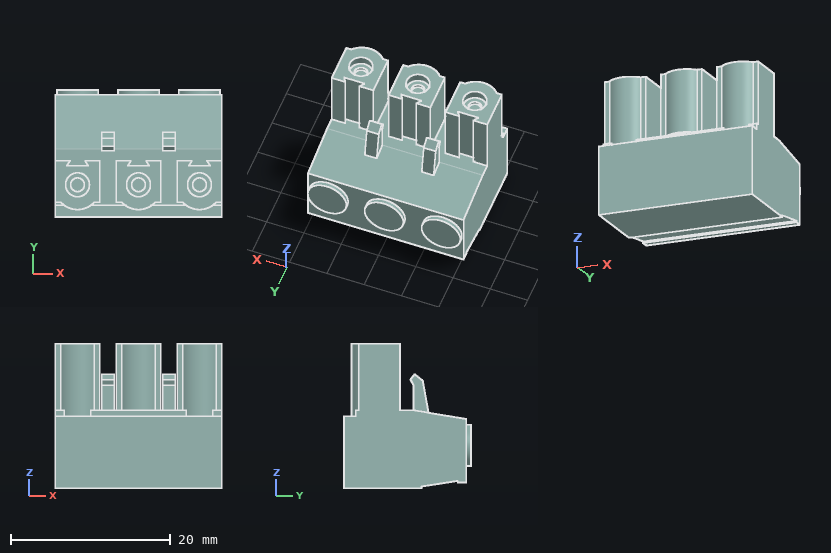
import cadquery as cq
import math


POLE_COUNT = 3
BODY_WIDTH = 20.87
TOWER_WIDTH = 5.6
POLE_PITCH = (BODY_WIDTH - TOWER_WIDTH) / (POLE_COUNT - 1)
TOTAL_DEPTH = 15.95
TOTAL_HEIGHT = 18.15

DISC_DIAMETER = 5.2
DISC_PROJECTION = 0.59
DISC_CENTRE_Z = 5.4

BODY_DEPTH = TOTAL_DEPTH - DISC_PROJECTION
SHELF_Z = 9.05
LEDGE_Y = 1.5
DECK_Z = 9.82
SLOPE_START_Y = 8.6
REAR_TOP_Z = 8.71
FOOT_Z = 0.72
FOOT_FRONT_Y = 14.26
RELIEF_REAR_Z = 0.93
RELIEF_FRONT_Y = 9.74
RELIEF_FRONT_Z = 0.23

TOWER_FRONT_Y = 1.9
TOWER_REAR_Y = 7.04
NOSE_RADIUS = 2.85
NOSE_CENTRE_Y = 3.8
NOSE_FRONT_Y = NOSE_CENTRE_Y - NOSE_RADIUS
NOSE_HALF_CHORD = math.sqrt(NOSE_RADIUS**2 - (NOSE_CENTRE_Y - TOWER_FRONT_Y)**2)
DOVETAIL_DEPTH = 0.63
DOVETAIL_MOUTH_HALF = 0.94
DOVETAIL_FLOOR_HALF = 1.37

HOLE_CENTRE_Y = 4.06
HOLE_DIAMETER = 3.0
HOLE_DEPTH = 1.27
BORE_DIAMETER = 1.72
BORE_DEPTH = 0.5

LATCH_WIDTH = 1.6
LATCH_FRONT_Y = 8.71
LATCH_ROOT_REAR_Y = 10.62
DECK_SLOPE = (DECK_Z - REAR_TOP_Z) / (BODY_DEPTH - SLOPE_START_Y)
LATCH_ROOT_REAR_Z = DECK_Z - DECK_SLOPE * (LATCH_ROOT_REAR_Y - SLOPE_START_Y)
LATCH_SHOULDER_Y = 9.9
LATCH_SHOULDER_Z = 13.5
LATCH_TIP_Y = 8.87
LATCH_TIP_Z = 14.33
LATCH_BARB_Y = 8.33
LATCH_BARB_Z = 13.64
LATCH_NECK_Z = 12.94


def body():
    """Housing: one side profile extruded over the full width."""
    profile = [
        (0, 0),
        (0, SHELF_Z),
        (LEDGE_Y, SHELF_Z),
        (LEDGE_Y, DECK_Z),
        (SLOPE_START_Y, DECK_Z),
        (BODY_DEPTH, REAR_TOP_Z),
        (BODY_DEPTH, FOOT_Z),
        (FOOT_FRONT_Y, FOOT_Z),
        (FOOT_FRONT_Y, RELIEF_REAR_Z),
        (RELIEF_FRONT_Y, RELIEF_FRONT_Z),
        (RELIEF_FRONT_Y, 0),
    ]
    return cq.Workplane("YZ").polyline(profile).close().extrude(BODY_WIDTH / 2, both=True)


def tower(x, base_z):
    """Round-nosed tower with a dovetail groove down its rear face."""
    half_width = TOWER_WIDTH / 2
    groove_floor_y = TOWER_REAR_Y - DOVETAIL_DEPTH
    block = (
        cq.Workplane("XY", origin=(x, 0, DECK_Z))
        .moveTo(-half_width, TOWER_FRONT_Y)
        .lineTo(half_width, TOWER_FRONT_Y)
        .lineTo(half_width, TOWER_REAR_Y)
        .lineTo(DOVETAIL_MOUTH_HALF, TOWER_REAR_Y)
        .lineTo(DOVETAIL_FLOOR_HALF, groove_floor_y)
        .lineTo(-DOVETAIL_FLOOR_HALF, groove_floor_y)
        .lineTo(-DOVETAIL_MOUTH_HALF, TOWER_REAR_Y)
        .lineTo(-half_width, TOWER_REAR_Y)
        .close()
        .extrude(TOTAL_HEIGHT - DECK_Z)
    )
    nose = (
        cq.Workplane("XY", origin=(x, 0, base_z))
        .moveTo(-NOSE_HALF_CHORD, TOWER_FRONT_Y)
        .threePointArc((0, NOSE_FRONT_Y), (NOSE_HALF_CHORD, TOWER_FRONT_Y))
        .close()
        .extrude(TOTAL_HEIGHT - base_z)
    )
    return block.union(nose)


def contact_hole(x):
    """Stepped blind hole cut into a tower from above."""
    top = cq.Workplane("XY", origin=(x, HOLE_CENTRE_Y, TOTAL_HEIGHT))
    wide = top.circle(HOLE_DIAMETER / 2).extrude(-HOLE_DEPTH)
    narrow = top.circle(BORE_DIAMETER / 2).extrude(-(HOLE_DEPTH + BORE_DEPTH))
    return wide.union(narrow)


def rear_disc(x):
    """Flat disc standing proud of the rear face."""
    return (
        cq.Workplane("XZ", origin=(x, BODY_DEPTH, DISC_CENTRE_Z))
        .circle(DISC_DIAMETER / 2)
        .extrude(-DISC_PROJECTION)
    )


def latch(x):
    """Barbed latch rising from the deck, rooted in the body."""
    profile = [
        (LATCH_FRONT_Y, REAR_TOP_Z),
        (LATCH_FRONT_Y, LATCH_NECK_Z),
        (LATCH_BARB_Y, LATCH_BARB_Z),
        (LATCH_TIP_Y, LATCH_TIP_Z),
        (LATCH_SHOULDER_Y, LATCH_SHOULDER_Z),
        (LATCH_ROOT_REAR_Y, LATCH_ROOT_REAR_Z),
    ]
    outline = cq.Workplane("YZ", origin=(x, 0, 0)).polyline(profile).close()
    return outline.extrude(LATCH_WIDTH / 2, both=True)


pole_positions = [(i - (POLE_COUNT - 1) / 2) * POLE_PITCH for i in range(POLE_COUNT)]
end_poles = (pole_positions[0], pole_positions[-1])

result = body()
for pole_x in pole_positions:
    nose_base_z = SHELF_Z if pole_x in end_poles else DECK_Z
    result = result.union(tower(pole_x, nose_base_z))
    result = result.union(rear_disc(pole_x))
    result = result.cut(contact_hole(pole_x))

for pole_x in pole_positions[:-1]:
    result = result.union(latch(pole_x + POLE_PITCH / 2))